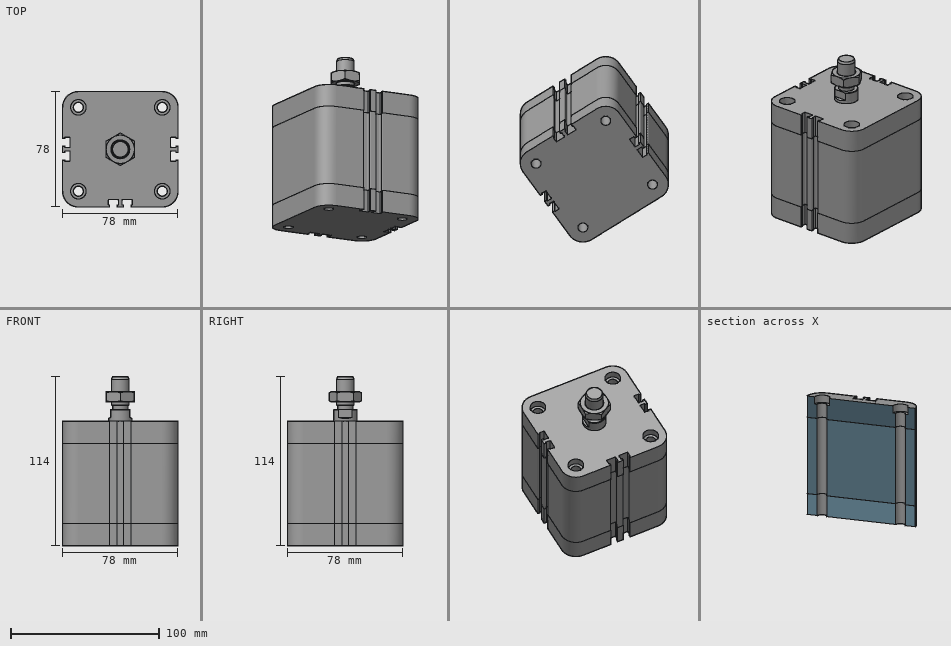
import cadquery as cq
import math

TOTAL_HEIGHT = 114.0
WIDTH = 78.0
CORNER_RADIUS = 10.7

STACK_HEIGHT = 84.0
CAP_HEIGHT = 15.0
TUBE_HEIGHT = STACK_HEIGHT - 2 * CAP_HEIGHT

HOLE_OFFSET = WIDTH / 2 - CORNER_RADIUS
HOLE_DIAMETER = 6.6
COUNTERBORE_DIAMETER = 10.5
COUNTERBORE_DEPTH = 5.1

SLOT_DEPTH = 5.0
LIP_DEPTH = 1.6
SLOT_MOUTH_INNER = 2.2
SLOT_MOUTH_OUTER = 7.3
SLOT_UNDERCUT_INNER = 1.3
SLOT_UNDERCUT_OUTER = 8.0
TUBE_SLOT_ROUND = 0.3
SLOTTED_SIDES = (-90, 0, 90)

ROD_DIAMETER = 15.8
ROD_BASE_DIAMETER = 16.0
ROD_BASE_HEIGHT = 0.9
ROD_BASE_TAPER = 0.2
SHOULDER_HEIGHT = 8.0
SHOULDER_CHAMFER = 0.3
NECK_DIAMETER = 10.5
THREAD_DIAMETER = 12.0
THREAD_LENGTH = 19.4
THREAD_LEAD_IN = 0.3
TIP_DIAMETER = 10.5
TIP_LENGTH = 1.7

FLAT_WIDTH = 13.0
FLAT_BOTTOM = 2.6
FLAT_RUNOUT_DROP = 0.8

NUT_WIDTH = 19.0
NUT_HEIGHT = 7.0
NUT_TOP_BELOW_TIP = 10.0
NUT_CHAMFER_ANGLE = 30.0
NUT_COUNTERSINK_DIAMETER = 12.8


def slotted_block(height, slot_round=0.0):
    """Rounded square block, standing on Z = 0, with twin slots up three sides."""
    block = cq.Workplane("XY").rect(WIDTH, WIDTH).extrude(height)
    block = block.edges("|Z").fillet(CORNER_RADIUS)
    for turn in SLOTTED_SIDES:
        for hand in (-1, 1):
            cutter = slot_cutter(height, hand, slot_round)
            block = block.cut(cutter.rotate((0, 0, 0), (0, 0, 1), turn))
    return block


def slot_cutter(height, hand, slot_round):
    """One undercut slot on the -Y side; hand picks the -X or the +X slot of the pair."""
    face = -WIDTH / 2
    lip = face + LIP_DEPTH
    floor = face + SLOT_DEPTH
    outline = [
        (SLOT_MOUTH_INNER, face),
        (SLOT_MOUTH_INNER, lip),
        (SLOT_UNDERCUT_INNER, lip),
        (SLOT_UNDERCUT_INNER, floor),
        (SLOT_UNDERCUT_OUTER, floor),
        (SLOT_UNDERCUT_OUTER, lip),
        (SLOT_MOUTH_OUTER, lip),
        (SLOT_MOUTH_OUTER, face),
    ]
    cutter = cq.Workplane("XY").polyline([(hand * x, y) for x, y in outline]).close().extrude(height)
    if slot_round:
        cutter = cutter.faces(">Y").edges("|Z").fillet(slot_round)
        for mouth in (SLOT_MOUTH_INNER, SLOT_MOUTH_OUTER):
            cutter = cutter.union(mouth_round(height, hand, mouth, slot_round))
    return cutter


def mouth_round(height, hand, mouth, radius):
    """Sliver that rounds the outer corner of a slot mouth."""
    face = -WIDTH / 2
    away = -1 if mouth == SLOT_MOUTH_INNER else 1
    reach = radius * (1 - math.sqrt(0.5))
    return (
        cq.Workplane("XY")
        .moveTo(hand * mouth, face)
        .lineTo(hand * mouth, face + radius)
        .threePointArc(
            (hand * (mouth + away * reach), face + reach),
            (hand * (mouth + away * radius), face),
        )
        .close()
        .extrude(height)
    )


def mounting_hole_centres(block):
    """Top face of the block with a point selected at each of the four holes."""
    return (
        block.faces(">Z").workplane(origin=(0, 0, 0))
        .rect(2 * HOLE_OFFSET, 2 * HOLE_OFFSET, forConstruction=True)
        .vertices()
    )


def make_rear_cap():
    return mounting_hole_centres(slotted_block(CAP_HEIGHT)).hole(HOLE_DIAMETER)


def make_tube():
    """Middle section, whose slot mouths and slot floors have small rounds."""
    tube = mounting_hole_centres(slotted_block(TUBE_HEIGHT, TUBE_SLOT_ROUND)).hole(HOLE_DIAMETER)
    return tube.translate((0, 0, CAP_HEIGHT))


def make_front_cap():
    cap = mounting_hole_centres(slotted_block(CAP_HEIGHT)).cboreHole(
        HOLE_DIAMETER, COUNTERBORE_DIAMETER, COUNTERBORE_DEPTH
    )
    return cap.translate((0, 0, STACK_HEIGHT - CAP_HEIGHT))


def make_rod():
    """Turned rod standing on the front cap, with two wrench flats facing -X and +X."""
    rod_radius = ROD_DIAMETER / 2
    base_radius = ROD_BASE_DIAMETER / 2
    neck_radius = NECK_DIAMETER / 2
    thread_radius = THREAD_DIAMETER / 2
    shoulder_top = STACK_HEIGHT + SHOULDER_HEIGHT
    thread_bottom = TOTAL_HEIGHT - THREAD_LENGTH
    base_top = STACK_HEIGHT + ROD_BASE_HEIGHT
    profile = [
        (0, STACK_HEIGHT),
        (base_radius, STACK_HEIGHT),
        (base_radius, base_top),
        (rod_radius, base_top + ROD_BASE_TAPER),
        (rod_radius, shoulder_top - SHOULDER_CHAMFER),
        (rod_radius - SHOULDER_CHAMFER, shoulder_top),
        (neck_radius, shoulder_top),
        (neck_radius, thread_bottom),
        (thread_radius - THREAD_LEAD_IN, thread_bottom),
        (thread_radius, thread_bottom + THREAD_LEAD_IN),
        (thread_radius, TOTAL_HEIGHT - TIP_LENGTH),
        (TIP_DIAMETER / 2, TOTAL_HEIGHT),
        (0, TOTAL_HEIGHT),
    ]
    rod = cq.Workplane("XZ").polyline(profile).close().revolve(360, (0, 0, 0), (0, 1, 0))
    for side in (-1, 1):
        rod = rod.cut(wrench_flat_cutter(side))
    return rod


def wrench_flat_cutter(side):
    """Block that mills one flat, its lower end running out downwards to the rod surface."""
    flat = FLAT_WIDTH / 2
    rod_radius = ROD_DIAMETER / 2
    bottom = STACK_HEIGHT + FLAT_BOTTOM
    top = STACK_HEIGHT + SHOULDER_HEIGHT
    outline = [
        (side * flat, bottom),
        (side * rod_radius, bottom - FLAT_RUNOUT_DROP),
        (side * rod_radius, top),
        (side * flat, top),
    ]
    return cq.Workplane("XZ").polyline(outline).close().extrude(rod_radius, both=True)


def make_nut():
    """Hexagon nut on the rod thread, corners to -Y and +Y, chamfered and countersunk at both ends."""
    corner_radius = NUT_WIDTH / math.sqrt(3)
    chamfer_radius = NUT_WIDTH / 2
    chamfer_height = (corner_radius - chamfer_radius) * math.tan(math.radians(NUT_CHAMFER_ANGLE))
    hexagon = (
        cq.Workplane("XY").polygon(6, 2 * corner_radius).extrude(NUT_HEIGHT)
        .rotate((0, 0, 0), (0, 0, 1), 90)
    )
    envelope_profile = [
        (0, 0),
        (chamfer_radius, 0),
        (corner_radius, chamfer_height),
        (corner_radius, NUT_HEIGHT - chamfer_height),
        (chamfer_radius, NUT_HEIGHT),
        (0, NUT_HEIGHT),
    ]
    envelope = cq.Workplane("XZ").polyline(envelope_profile).close().revolve(360, (0, 0, 0), (0, 1, 0))
    bore = cq.Workplane("XY").circle(THREAD_DIAMETER / 2).extrude(NUT_HEIGHT)
    countersink_depth = (NUT_COUNTERSINK_DIAMETER - THREAD_DIAMETER) / 2
    nut = hexagon.intersect(envelope).cut(bore)
    nut = nut.faces("<Z or >Z").edges("%CIRCLE").edges(cq.selectors.RadiusNthSelector(0))
    nut = nut.chamfer(countersink_depth)
    return nut.translate((0, 0, TOTAL_HEIGHT - NUT_TOP_BELOW_TIP - NUT_HEIGHT))


rear_cap = make_rear_cap()
tube = make_tube()
front_cap = make_front_cap()
rod = make_rod()
nut = make_nut()

result = cq.Compound.makeCompound([
    rear_cap.val(),
    tube.val(),
    front_cap.val(),
    rod.val(),
    nut.val(),
])